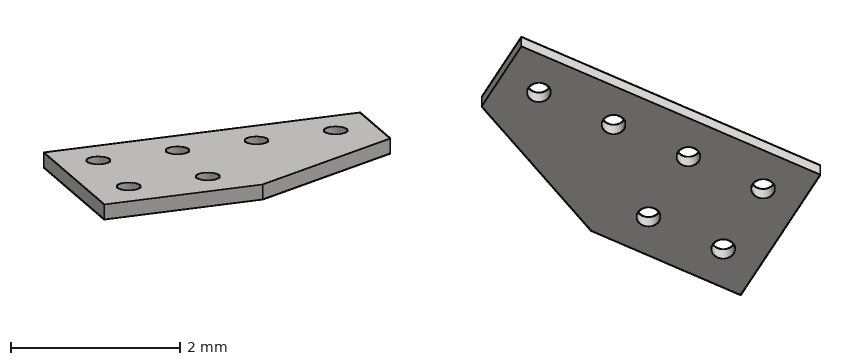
import cadquery as cq

pitch = 1.0
thickness = 0.19
hole_diameter = 0.28
long_column_holes = 4
short_column_holes = 2

width = 2 * pitch
length = long_column_holes * pitch
far_edge_width = width / 2
short_side_length = short_column_holes * pitch
edge_distance = pitch / 2


def make_plate():
    """Flat plate with its +X +Y corner cut off at a slant."""
    return (
        cq.Workplane("XY")
        .moveTo(0, 0)
        .lineTo(width, 0)
        .lineTo(width, short_side_length)
        .lineTo(far_edge_width, length)
        .lineTo(0, length)
        .close()
        .extrude(thickness)
    )


def column_centres(x, count):
    """Hole centres of one column, running up from the -Y edge."""
    return [(x, edge_distance + row * pitch) for row in range(count)]


def make_holes():
    """Cylinders that cut the through holes."""
    long_column = column_centres(edge_distance, long_column_holes)
    short_column = column_centres(edge_distance + pitch, short_column_holes)
    return (
        cq.Workplane("XY")
        .pushPoints(long_column + short_column)
        .circle(hole_diameter / 2)
        .extrude(thickness)
    )


result = make_plate().cut(make_holes())